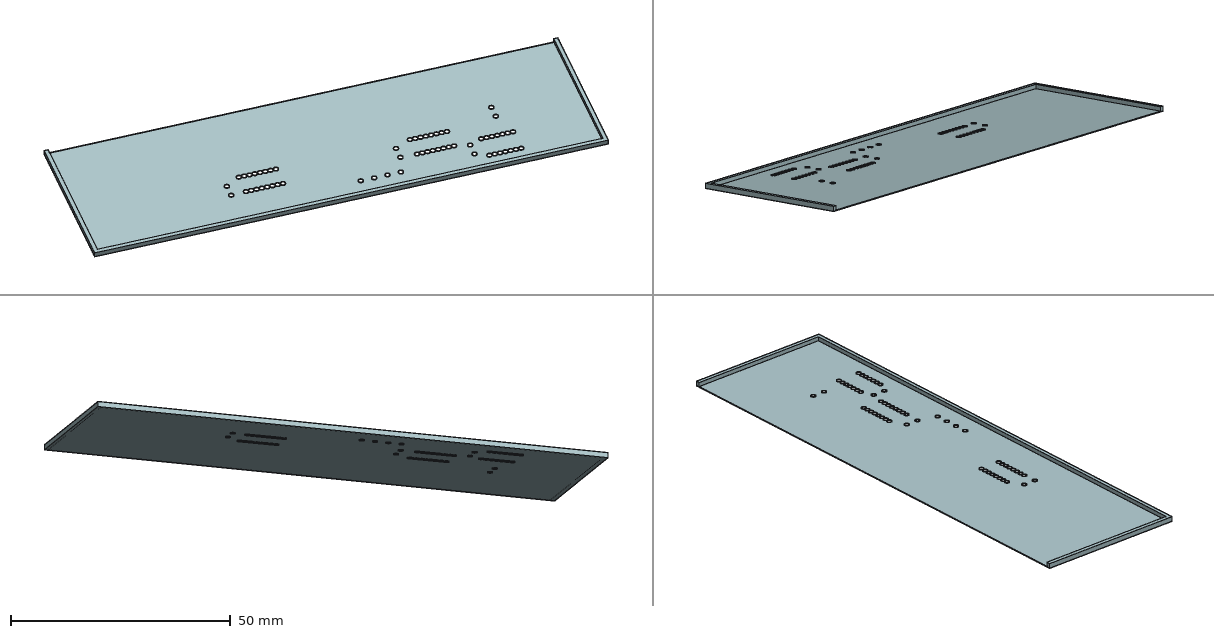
import cadquery as cq

WIDTH = 36.8
LENGTH = 123.0
HEIGHT = 1.2
FLOOR_THICKNESS = 0.2
RIM_WIDTH = 1.0

HOLE_DIAMETER = 1.2
PIN_PITCH = 1.27
PAIR_PITCH = 3.2

PIN_ROWS = [
    (7.8, 34.6, 5.9, 7),
    (3.0, 19.1, 5.2, 8),
    (3.0, -21.9, 5.2, 8),
]

HOLE_PAIRS = [
    (-1.7, 40.1),
    (9.0, 31.5),
    (4.8, 15.1),
    (5.0, -25.5),
]

COLUMN_X = 12.8
COLUMN_BOTTOM_Y = 4.0
COLUMN_COUNT = 4


def make_tray():
    """Thin floor with a rim on three sides, open towards -X."""
    body = cq.Workplane("XY").box(WIDTH, LENGTH, HEIGHT, centered=(True, True, False))
    recess = (
        cq.Workplane("XY", origin=(-RIM_WIDTH / 2, 0, FLOOR_THICKNESS))
        .box(WIDTH - RIM_WIDTH, LENGTH - 2 * RIM_WIDTH, HEIGHT, centered=(True, True, False))
    )
    return body.cut(recess)


def hole_column(x, bottom_y, pitch, count):
    """Centres of equally spaced holes along Y."""
    return [(x, bottom_y + i * pitch) for i in range(count)]


def hole_centres():
    """Centres of every hole in the floor."""
    centres = hole_column(COLUMN_X, COLUMN_BOTTOM_Y, PAIR_PITCH, COLUMN_COUNT)
    for left_x, bottom_y, row_spacing, count in PIN_ROWS:
        for x in (left_x, left_x + row_spacing):
            centres += hole_column(x, bottom_y, PIN_PITCH, count)
    for left_x, y in HOLE_PAIRS:
        centres += [(left_x, y), (left_x + PAIR_PITCH, y)]
    return centres


holes = (
    cq.Workplane("XY")
    .pushPoints(hole_centres())
    .circle(HOLE_DIAMETER / 2)
    .extrude(HEIGHT)
)
result = make_tray().cut(holes)